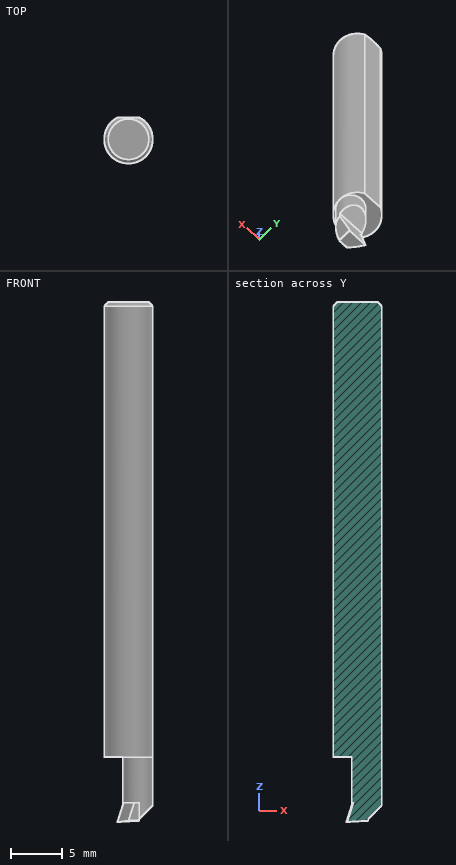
import cadquery as cq
import math

SHANK_DIAMETER = 4.7625
SHANK_LENGTH = 44.45
SHANK_CHAMFER = 0.4
FLAT_Y = 4.51 - SHANK_DIAMETER / 2

NECK_DIAMETER = 2.95
NECK_X = (SHANK_DIAMETER - NECK_DIAMETER) / 2
TIP_LENGTH = 6.34
RAMP_DROP = NECK_DIAMETER / 2
RAKE_START = 3.95

HEAD_TOP = 4.45
HEAD_RIGHT_X = 1.05
HEAD_DEPTH = 1.49
HOOK_TOP_X = -0.5
HOOK_POINT_X = -1.1
FLANK_RELIEF = 1.05
FLANK_BULGE = 0.045

END_RISE = 0.12
END_RELIEF = 0.1

BEVEL_START = 4.7
BEVEL_END = 6.05


def make_shank():
    """Chamfered round bar with its flat running the full length."""
    bar = (
        cq.Workplane("XY")
        .circle(SHANK_DIAMETER / 2)
        .extrude(SHANK_LENGTH)
        .faces(">Z")
        .chamfer(SHANK_CHAMFER)
    )
    flat_cut = (
        cq.Workplane("XY")
        .box(2 * SHANK_DIAMETER, SHANK_DIAMETER, SHANK_LENGTH, centered=(True, False, False))
        .translate((0, FLAT_Y, 0))
    )
    return bar.cut(flat_cut)


def make_neck():
    """Round neck, halved below a 45 degree ramp, bevelled and cleared for the head."""
    radius = NECK_DIAMETER / 2
    right_x = NECK_X + radius
    bar = cq.Workplane("XY").center(NECK_X, 0).circle(radius).extrude(-TIP_LENGTH)
    rake_cut = (
        cq.Workplane("YZ")
        .polyline([
            (0, -RAKE_START),
            (RAMP_DROP, RAMP_DROP - RAKE_START),
            (RAMP_DROP, -TIP_LENGTH),
            (0, -TIP_LENGTH),
        ])
        .close()
        .extrude(SHANK_DIAMETER, both=True)
    )
    bevel_cut = (
        cq.Workplane("XZ")
        .polyline([
            (right_x, -BEVEL_START),
            (HEAD_RIGHT_X, -BEVEL_END),
            (HEAD_RIGHT_X, -TIP_LENGTH),
            (right_x, -TIP_LENGTH),
        ])
        .close()
        .extrude(SHANK_DIAMETER, both=True)
    )
    head_clearance = (
        cq.Workplane("XY")
        .box(SHANK_DIAMETER, SHANK_DIAMETER, TIP_LENGTH)
        .translate((HEAD_RIGHT_X - SHANK_DIAMETER / 2, 0, -HEAD_TOP - TIP_LENGTH / 2))
    )
    return bar.cut(rake_cut).cut(bevel_cut).cut(head_clearance)


def head_section(edge_x, depth):
    """Horizontal section of the head, with its cutting edge at edge_x and a bulged flank."""
    z = -depth
    relieved_x = edge_x + FLANK_RELIEF
    flank_length = math.hypot(FLANK_RELIEF, HEAD_DEPTH)
    cutting_edge = cq.Vector(edge_x, 0, z)
    flank_middle = cq.Vector(
        (edge_x + relieved_x) / 2 - FLANK_BULGE * HEAD_DEPTH / flank_length,
        -HEAD_DEPTH / 2 - FLANK_BULGE * FLANK_RELIEF / flank_length,
        z,
    )
    flank_end = cq.Vector(relieved_x, -HEAD_DEPTH, z)
    back_corner = cq.Vector(HEAD_RIGHT_X, -HEAD_DEPTH, z)
    rake_corner = cq.Vector(HEAD_RIGHT_X, 0, z)
    return cq.Wire.assembleEdges([
        cq.Edge.makeThreePointArc(cutting_edge, flank_middle, flank_end),
        cq.Edge.makeLine(flank_end, back_corner),
        cq.Edge.makeLine(back_corner, rake_corner),
        cq.Edge.makeLine(rake_corner, cutting_edge),
    ])


def end_cut_outline(y, rise):
    """Outline, at the given Y, of the material removed below the end face."""
    corners = [
        (HOOK_POINT_X, -TIP_LENGTH + rise),
        (HEAD_RIGHT_X, -TIP_LENGTH + rise + END_RISE),
        (HEAD_RIGHT_X, -TIP_LENGTH - END_RISE),
        (HOOK_POINT_X, -TIP_LENGTH - END_RISE),
    ]
    return cq.Wire.makePolygon([cq.Vector(x, y, z) for x, z in corners], close=True)


def make_head():
    """Hook leaning out to its point at the tip, with the end face relieved toward -Y."""
    top_section = head_section(HOOK_TOP_X, HEAD_TOP)
    tip_section = head_section(HOOK_POINT_X, TIP_LENGTH)
    hook = cq.Solid.makeLoft([top_section, tip_section], True)
    end_cut = cq.Solid.makeLoft(
        [end_cut_outline(0, 0), end_cut_outline(-HEAD_DEPTH, END_RELIEF)], True
    )
    return cq.Workplane(hook).cut(cq.Workplane(end_cut))


result = make_shank().union(make_neck()).union(make_head())